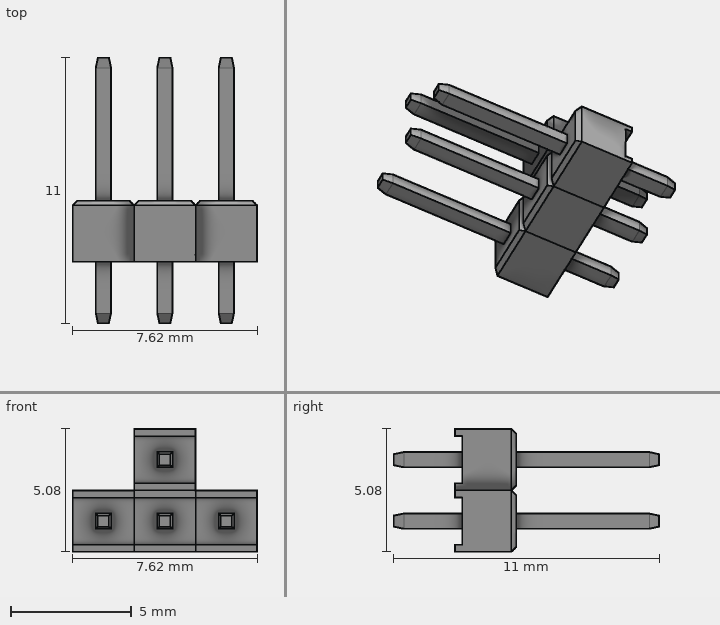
import cadquery as cq

header_width = 7.62
pitch = header_width / 3
housing_length = 2.54
rail_size = 0.3
housing_chamfer = 0.2
pin_length = 10.98
pin_width = 0.64
pin_front = 2.54
taper_length = 0.42
tip_width = 0.46

unit_positions = [(-pitch, 0), (0, 0), (pitch, 0), (0, pitch)]


def make_housing():
    """Block from Y = 0 to its chamfered back, with a channel across the front face."""
    block = cq.Workplane("XY").box(pitch, housing_length, pitch, centered=(True, False, True))
    block = block.faces(">Y").chamfer(housing_chamfer)
    channel_height = pitch - 2 * rail_size
    channel = cq.Workplane("XY").box(pitch, rail_size, channel_height, centered=(True, False, True))
    return block.cut(channel)


def make_pin():
    """Square pin along Y, tapered to a smaller square at both ends."""
    shaft_length = pin_length - 2 * taper_length
    shaft_start = taper_length - pin_front
    shaft = (
        cq.Workplane("XY")
        .box(pin_width, shaft_length, pin_width, centered=(True, False, True))
        .translate((0, shaft_start, 0))
    )
    front_taper = (
        cq.Workplane("XZ", origin=(0, shaft_start, 0))
        .rect(pin_width, pin_width)
        .workplane(offset=taper_length)
        .rect(tip_width, tip_width)
        .loft(ruled=True)
    )
    middle_y = pin_length / 2 - pin_front
    back_taper = front_taper.mirror("XZ", (0, middle_y, 0))
    return shaft.union(front_taper).union(back_taper)


header_unit = make_housing().union(make_pin())
header_units = [header_unit.translate((x, 0, z)) for x, z in unit_positions]

result = cq.Compound.makeCompound([unit.val() for unit in header_units])